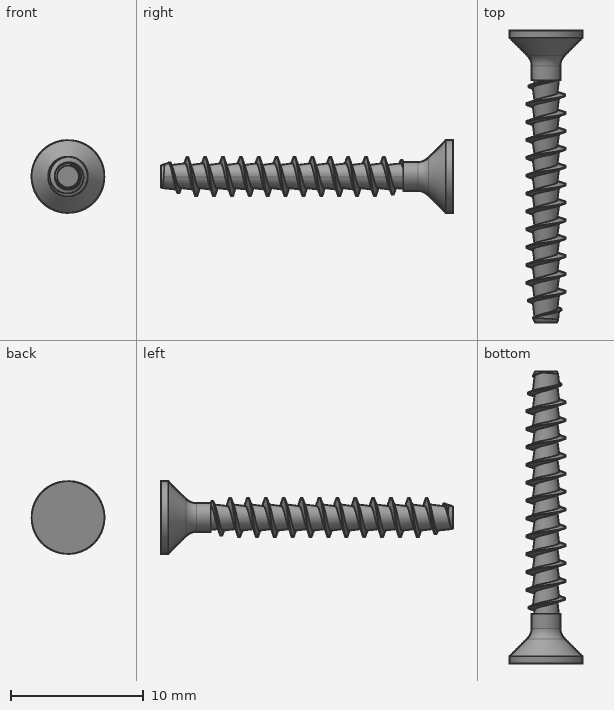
import cadquery as cq
import math

length = 22.0
head_radius = 5.5 / 2
rim_height = 0.55
shank_radius = 2.2 / 2
neck_fillet = 1.1
cone_half_angle = 45
shank_end = 3.74

core_radius = 0.87
root_radius = 1.0
crest_radius = 3.0 / 2
pitch = 1.345
crest_phase = 4.88
crest_width = 0.05
head_flank_width = 0.18
tip_flank_width = 0.16
flank_height = crest_radius - core_radius
tip_flank_height = crest_radius - root_radius

run_in_radius = 1.22
run_in_end = 5.1
run_out_start = 19.93
run_out_end = 21.57
faded_radius = root_radius + 0.01

tip_radius = 0.82
tip_taper_start = 21.63

lead_in_turns = 2
thread_start = crest_phase - lead_in_turns * pitch
points_per_turn = 24
tooth_corners = 4


def revolve_about_axis(outline):
    """Turn a (radius, depth) outline about the screw axis."""
    return outline.close().revolve(360, (0, 0, 0), (0, 1, 0)).rotate((0, 0, 0), (1, 0, 0), 90)


def make_head_and_shank():
    """Rim, countersink cone, filleted neck and plain shank."""
    cone_angle = math.radians(cone_half_angle)
    cone_end = rim_height + (head_radius - shank_radius) / math.tan(cone_angle)
    tangent_length = neck_fillet * math.tan(cone_angle / 2)
    fillet_start = (
        shank_radius + tangent_length * math.sin(cone_angle),
        cone_end - tangent_length * math.cos(cone_angle),
    )
    fillet_end = (shank_radius, cone_end + tangent_length)
    fillet_middle = (
        shank_radius + neck_fillet * (1 - math.cos(cone_angle / 2)),
        fillet_end[1] - neck_fillet * math.sin(cone_angle / 2),
    )
    return revolve_about_axis(
        cq.Workplane("XY")
        .lineTo(head_radius, 0)
        .lineTo(head_radius, rim_height)
        .lineTo(*fillet_start)
        .threePointArc(fillet_middle, fillet_end)
        .lineTo(shank_radius, shank_end)
        .lineTo(0, shank_end)
    )


def make_thread_envelope():
    """Space left for the thread: from the shank end to the tapered tip."""
    tip_taper_slope = (root_radius - tip_radius) / (length - tip_taper_start)
    outer_radius = 2 * crest_radius
    taper_outer_depth = length - (outer_radius - tip_radius) / tip_taper_slope
    return revolve_about_axis(
        cq.Workplane("XY")
        .moveTo(0, shank_end)
        .lineTo(outer_radius, shank_end)
        .lineTo(outer_radius, taper_outer_depth)
        .lineTo(tip_radius, length)
        .lineTo(0, length)
    )


def crest_radius_at(depth):
    """Crest radius along the screw: growing in the run-in, then constant, then fading in the run-out."""
    growth = (crest_radius - run_in_radius) / (run_in_end - shank_end)
    run_in = max(run_in_radius + growth * (depth - shank_end), shank_radius)
    decay = (crest_radius - faded_radius) / (run_out_end - run_out_start)
    run_out = max(crest_radius - decay * (depth - run_out_start), faded_radius)
    return min(crest_radius, run_in, run_out)


def tooth_profile(depth):
    """(radius, depth) corners of the tooth centred at a depth; a lower tooth has a narrower foot."""
    crest = crest_radius_at(depth)
    head_flank = head_flank_width * (crest - core_radius) / flank_height
    tip_flank = tip_flank_width * (crest - root_radius) / tip_flank_height
    return [
        (core_radius, depth - crest_width / 2 - head_flank),
        (crest, depth - crest_width / 2),
        (crest, depth + crest_width / 2),
        (root_radius, depth + crest_width / 2 + tip_flank),
    ]


def helical_edge(corner, turn):
    """One turn of the right-handed curve traced by a tooth corner."""
    points = []
    for step in range(points_per_turn + 1):
        fraction = step / points_per_turn
        angle = 2 * math.pi * fraction
        radius, depth = tooth_profile(thread_start + (turn + fraction) * pitch)[corner]
        points.append(cq.Vector(radius * math.cos(angle), radius * math.sin(angle), depth))
    return cq.Edge.makeSpline(points)


def end_face(foot_edge):
    """Closing face at a rod end: a helicoid from the tooth foot inward to the axis."""
    axis_edge = cq.Edge.makeLine(
        cq.Vector(0, 0, foot_edge.startPoint().z), cq.Vector(0, 0, foot_edge.endPoint().z)
    )
    return cq.Face.makeRuledSurface(axis_edge, foot_edge)


def radial_cap(turn):
    """Flat face across one pitch of the profile, from the axis out to the tooth."""
    first = tooth_profile(thread_start + turn * pitch)
    next_foot = tooth_profile(thread_start + (turn + 1) * pitch)[0]
    outline = [(0, first[0][1])] + first + [next_foot, (0, next_foot[1])]
    return cq.Face.makeFromWires(cq.Wire.makePolygon([cq.Vector(r, 0, z) for r, z in outline], close=True))


def make_threaded_rod():
    """Solid rod of stacked turns, each a sharp tooth followed by a root sloping down to the core."""
    turns = math.ceil((length - thread_start) / pitch) + 1
    edges = [[helical_edge(corner, turn) for corner in range(tooth_corners)] for turn in range(turns + 1)]
    faces = [end_face(edges[0][0]), end_face(edges[turns][0]), radial_cap(0), radial_cap(turns)]
    for turn in range(turns):
        strip = edges[turn] + [edges[turn + 1][0]]
        for near, far in zip(strip, strip[1:]):
            faces.append(cq.Face.makeRuledSurface(near, far))
    shell = cq.Shell.makeShell(faces)
    return cq.Workplane(cq.Solid.makeSolid(shell))


thread = make_threaded_rod().intersect(make_thread_envelope())
screw = make_head_and_shank().union(thread)

result = screw.rotate((0, 0, 0), (1, 0, 0), 90)